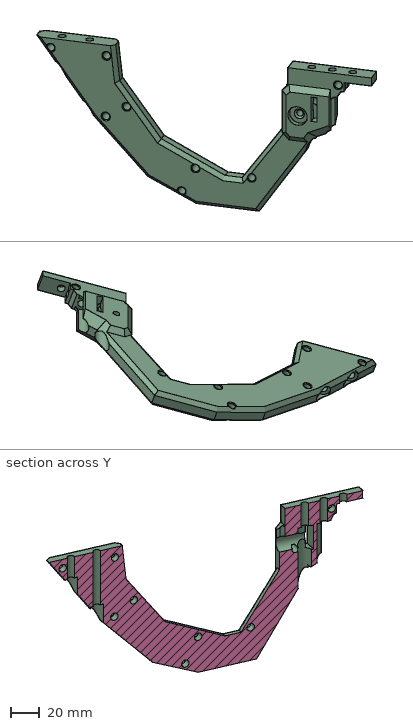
import cadquery as cq
import math

arm_width = 12.5
block_width = 20.0
arm_chamfer = 3.0
rim_width = arm_width - 2 * arm_chamfer

arm_bottom = -113.5
arm_inner_bottom = -89.3
overshoot = 14.8
foot_outer = (0, 0)
foot_knee = (41.5, -56.0)
outer_bend = (81.5, -97.5)
foot_inner = (57.8, 0)
inner_knee = (60.7, -27.0)
heel = (205.0, -51.2)
heel_line_end = (226.8, -40.8)
inner_bend = (150.5, arm_inner_bottom)
inner_rise = (180.0, -47.7)
arm_top = -30.7
arm_outer_right = (162.8, arm_bottom)

block_left = 180.5
block_right = 216.0
block_top = -12.5
block_bottom = -54.8
block_chamfer_inset = 4.2
block_corner = 5.2

plate_left = 184.7
plate_right = 246
plate_thickness = 6.1
gusset_right = 225.8
gusset_bottom = -20.2

screw_hole_diameter = 5.5
screw_head_diameter = 10.0
screw_holes = [(17.5, 17.0), (37.6, 42.8), (200.5, 18.2), (215.5, 18.2), (230.5, plate_thickness)]

cross_hole_diameter = 5.5
cross_hole_mouth = 6.6
cross_holes = [
    (11.0, -7.1), (52.0, -8.0), (66.7, -45.0), (51.5, -54.4),
    (117.0, -85.3), (107.0, -104.0), (158.1, -87.3), (221.5, -8.5),
]

pivot = (193.0, -34.2)
pivot_hole_diameter = 4.7
pivot_head_diameter = 14.0
pivot_head_depth = 4.2
pivot_mouth = 7.5
slot_x = 205.0
slot_width = 4.2
slot_height = 18.5
bore_z = -27.8
bore_diameter = 11.0
bore_depth = slot_x - block_left

groove_mouth = 8.5
groove_width = 5.2
groove_taper_depth = (groove_mouth - groove_width) / 2
groove_top = -14.0


def prism(points, width):
    """Polygon in X and Z, extruded to the given width about Y = 0."""
    return cq.Workplane("XZ").polyline(points).close().extrude(width / 2, both=True)


def unit(start, end):
    """Unit vector from start to end."""
    length = math.hypot(end[0] - start[0], end[1] - start[1])
    return ((end[0] - start[0]) / length, (end[1] - start[1]) / length)


def inset_outline(points, inset):
    """Counterclockwise polygon moved inwards by `inset`, with every corner kept sharp."""
    moved = []
    for i, (x, z) in enumerate(points):
        arriving = unit(points[i - 1], (x, z))
        leaving = unit((x, z), points[(i + 1) % len(points)])
        cosine = arriving[0] * leaving[0] + arriving[1] * leaving[1]
        reach = inset / (1 + cosine)
        moved.append((
            x - reach * (arriving[1] + leaving[1]),
            z + reach * (arriving[0] + leaving[0]),
        ))
    return moved


def bevelled_prism(points, flat_width, width, inset):
    """Counterclockwise prism whose edges slope in by `inset` between flat_width and width."""
    depth = (width - flat_width) / 2
    bevel = (
        cq.Workplane("XZ", origin=(0, -flat_width / 2, 0))
        .polyline(points).close()
        .workplane(offset=depth)
        .polyline(inset_outline(points, inset)).close()
        .loft(ruled=True)
    )
    return prism(points, flat_width).union(bevel).union(bevel.mirror("XZ"))


def box(x_min, x_max, z_min, z_max):
    """Box in X and Z across the full width of the block."""
    return prism([(x_min, z_min), (x_max, z_min), (x_max, z_max), (x_min, z_max)], block_width)


def extend(start, end, z):
    """Point at height z on the line through start and end."""
    along = (z - start[1]) / (end[1] - start[1])
    return (start[0] + along * (end[0] - start[0]), z)


def cross_cylinder(x, z, diameter):
    return cq.Workplane("XZ").center(x, z).circle(diameter / 2).extrude(block_width, both=True)


def countersink(x, z, depth_from_centre, hole, mouth):
    """45 degree cone opening towards -Y, with its mouth at Y = -depth_from_centre."""
    height = (mouth - hole) / 2
    return cq.Workplane(cq.Solid.makeCone(
        mouth / 2, hole / 2, height,
        cq.Vector(x, -depth_from_centre, z), cq.Vector(0, 1, 0),
    ))


def make_arm():
    """Curved arm with bevelled edges, flat at Z = 0 and against the block's right end."""
    outer_edge = [
        extend(foot_knee, foot_outer, overshoot),
        foot_knee,
        outer_bend,
        (117.0, arm_bottom),
        arm_outer_right,
        heel,
        heel_line_end,
    ]
    inner_edge = [
        (heel_line_end[0], arm_top),
        extend(inner_bend, inner_rise, arm_top),
        inner_bend,
        (138.0, arm_inner_bottom),
        (91.2, -67.5),
        inner_knee,
        extend(inner_knee, foot_inner, overshoot),
    ]
    arm = bevelled_prism(outer_edge + inner_edge, rim_width, arm_width, arm_chamfer)
    return arm.intersect(box(0, block_right, arm_bottom, 0))


def make_block():
    """Wider block with bevelled edges, flat on its right end."""
    beyond = block_right + overshoot
    outline = [
        (block_left, block_bottom + block_corner),
        (block_left + block_corner, block_bottom),
        (beyond, block_bottom),
        (beyond, block_top),
        (block_left + block_corner, block_top),
        (block_left, block_top - block_corner),
    ]
    block = bevelled_prism(outline, arm_width, block_width, block_chamfer_inset)
    block = block.intersect(box(block_left, block_right, block_bottom, block_top))
    corner = [
        arm_outer_right,
        heel,
        heel_line_end,
        (heel_line_end[0], overshoot),
        (foot_outer[0], overshoot),
        (foot_outer[0], arm_bottom),
    ]
    bevel = (block_width - rim_width) / 2
    return block.intersect(bevelled_prism(corner, rim_width, block_width, bevel))


def make_plate():
    """Mounting plate with its gusset and the neck down to the block."""
    outline = [
        (plate_left, 0),
        (plate_right, 0),
        (plate_right, -plate_thickness),
        (gusset_right, -plate_thickness),
        (gusset_right, -13.0),
        (223.3, -13.5),
        (220.9, -17.7),
        (219.0, -18.2),
        (block_right, gusset_bottom),
        (plate_left, gusset_bottom),
    ]
    return prism(outline, arm_width)


def screw_hole(x, ceiling):
    """Vertical hole from Z = 0, counterbored from below up to the ceiling depth."""
    hole = cq.Workplane("XY").center(x, 0).circle(screw_hole_diameter / 2).extrude(arm_bottom)
    head = (
        cq.Workplane("XY", origin=(x, 0, -ceiling))
        .circle(screw_head_diameter / 2).extrude(arm_bottom)
    )
    return hole.union(head)


def side_bore():
    """Bore along X from the block's left face to the nut slot, with the groove above it."""
    bore = (
        cq.Workplane("YZ", origin=(block_left, 0, bore_z))
        .circle(bore_diameter / 2).extrude(bore_depth)
    )
    taper_end = block_left + groove_taper_depth
    groove = (
        cq.Workplane("XY", origin=(0, 0, bore_z))
        .moveTo(block_left, -groove_mouth / 2)
        .lineTo(taper_end, -groove_width / 2)
        .threePointArc((taper_end + groove_width / 2, 0), (taper_end, groove_width / 2))
        .lineTo(block_left, groove_mouth / 2)
        .close().extrude(groove_top - bore_z)
    )
    return bore.union(groove)


def nut_slot():
    """Rectangular slot right through the block along Y."""
    return box(
        slot_x - slot_width / 2, slot_x + slot_width / 2,
        bore_z - slot_height / 2, bore_z + slot_height / 2,
    )


def pivot_hole():
    """Through hole with a countersink below the screw head's recess in the -Y face."""
    head_floor = block_width / 2 - pivot_head_depth
    head = (
        cq.Workplane("XZ", origin=(0, -head_floor, 0))
        .center(*pivot).circle(pivot_head_diameter / 2).extrude(pivot_head_depth)
    )
    mouth = countersink(*pivot, head_floor, pivot_hole_diameter, pivot_mouth)
    return head.union(cross_cylinder(*pivot, pivot_hole_diameter)).union(mouth)


result = make_arm().union(make_block()).union(make_plate())

for x, ceiling in screw_holes:
    result = result.cut(screw_hole(x, ceiling))

for x, z in cross_holes:
    mouth = countersink(x, z, arm_width / 2, cross_hole_diameter, cross_hole_mouth)
    result = result.cut(cross_cylinder(x, z, cross_hole_diameter))
    result = result.cut(mouth).cut(mouth.mirror("XZ"))

result = result.cut(side_bore()).cut(nut_slot()).cut(pivot_hole())